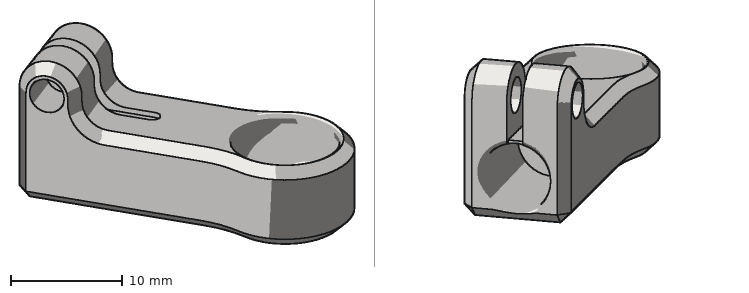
import cadquery as cq
import math


arm_width = 10.0
arm_height = 8.0
head_radius = 6.25
head_x = 24.0
neck_radius = 10.0
edge_chamfer = 1.0

lug_radius = 3.0
lug_height = 14.0
lug_axis_z = lug_height - lug_radius
lug_root_radius = 2.5
screw_diameter = 3.3

bore_diameter = 6.5
bore_axis_z = 4.0
bore_depth = 12.0

slot_width = 1.5
slot_length = 12.0
slot_floor_z = 7.5

socket_diameter = 9.8
socket_center_z = 7.0

mouth_radius = 0.5


def side_outline():
    """Lug and arm outline in the XZ plane, spanning the whole width."""
    lug_right = 2 * lug_radius
    root_x = lug_right + lug_root_radius
    root_z = arm_height + lug_root_radius
    diagonal = lug_root_radius * math.sqrt(0.5)
    far_x = head_x + head_radius
    return (
        cq.Workplane("XZ")
        .moveTo(0, 0)
        .lineTo(0, lug_axis_z)
        .threePointArc((lug_radius, lug_height), (lug_right, lug_axis_z))
        .lineTo(lug_right, root_z)
        .threePointArc((root_x - diagonal, root_z - diagonal), (root_x, arm_height))
        .lineTo(far_x, arm_height)
        .lineTo(far_x, 0)
        .close()
        .extrude(head_radius, both=True)
    )


def plan_outline():
    """Arm and head outline in the XY plane, with concave arcs tangent to both."""
    half_width = arm_width / 2
    neck_center_y = half_width + neck_radius
    center_distance = head_radius + neck_radius
    neck_x = head_x - math.sqrt(center_distance**2 - neck_center_y**2)

    head_share = head_radius / center_distance
    join_x = head_x - (head_x - neck_x) * head_share
    join_y = neck_center_y * head_share

    half_sweep = math.atan2(join_x - neck_x, neck_center_y - join_y) / 2
    neck_mid_x = neck_x + neck_radius * math.sin(half_sweep)
    neck_mid_y = neck_center_y - neck_radius * math.cos(half_sweep)

    return (
        cq.Workplane("XY")
        .moveTo(0, -half_width)
        .lineTo(neck_x, -half_width)
        .threePointArc((neck_mid_x, -neck_mid_y), (join_x, -join_y))
        .threePointArc((head_x + head_radius, 0), (join_x, join_y))
        .threePointArc((neck_mid_x, neck_mid_y), (neck_x, half_width))
        .lineTo(0, half_width)
        .close()
        .extrude(lug_height)
    )


def chamfered_body():
    """Solid body with its underside rim and its tangent upper rim chamfered."""
    body = side_outline().intersect(plan_outline())
    underside_rim = body.faces("<Z").edges()
    upper_rim_start = body.faces("<X").edges("|Z").edges("<Y")
    return underside_rim.add(upper_rim_start).chamfer(edge_chamfer)


def lug_slot():
    """Slot with a rounded inner end, plus its set-back at the bore mouth."""
    end_radius = slot_width / 2
    straight_length = slot_length - end_radius
    slot_height = lug_height - slot_floor_z
    straight = cq.Workplane("XY").box(straight_length, slot_width, slot_height, centered=(False, True, False))
    rounded_end = cq.Workplane("XY").center(straight_length, 0).circle(end_radius).extrude(slot_height)
    slot = straight.union(rounded_end).translate((0, 0, slot_floor_z))

    set_back = cq.Workplane("XY").box(
        mouth_radius, slot_width, lug_height - bore_axis_z, centered=(False, True, False)
    )
    return slot.union(set_back.translate((0, 0, bore_axis_z)))


def screw_hole():
    """Clamp screw hole across the lug, concentric with its rounded top."""
    return (
        cq.Workplane("XZ")
        .center(lug_radius, lug_axis_z)
        .circle(screw_diameter / 2)
        .extrude(arm_width, both=True)
    )


def round_mouth_cutter(radius, depth):
    """Cylinder going down from Z = 0 whose top flares out as a rounded mouth."""
    sag = mouth_radius * (1 - math.sqrt(0.5))
    return (
        cq.Workplane("XZ")
        .moveTo(0, 0)
        .lineTo(radius + mouth_radius, 0)
        .threePointArc((radius + sag, -sag), (radius, -mouth_radius))
        .lineTo(radius, -depth)
        .lineTo(0, -depth)
        .close()
        .revolve(360, (0, 0), (0, 1))
    )


def rod_bore():
    """Blind rod bore along +X with a rounded mouth at the lug end."""
    cutter = round_mouth_cutter(bore_diameter / 2, bore_depth)
    return cutter.rotate((0, 0, 0), (0, 1, 0), -90).translate((0, 0, bore_axis_z))


def ball_socket():
    """Hemispherical socket below a short cylinder with a rounded mouth."""
    radius = socket_diameter / 2
    mouth = round_mouth_cutter(radius, arm_height - socket_center_z).translate((head_x, 0, arm_height))
    ball = cq.Workplane("XY").sphere(radius).translate((head_x, 0, socket_center_z))
    return mouth.union(ball)


result = (
    chamfered_body()
    .cut(lug_slot())
    .cut(screw_hole())
    .cut(rod_bore())
    .cut(ball_socket())
)